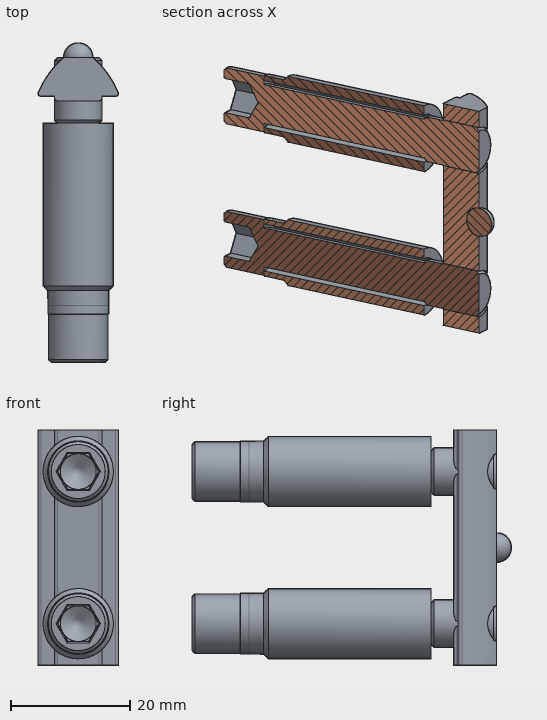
import cadquery as cq
import math

overall_length = 53.5
nut_length = 39.4
screw_spacing = 25.45

ball_diameter = 5.0

nut_width = 13.5
nut_back_width = ball_diameter
flange_depth = 6.45
boss_depth = 7.2
boss_width = 7.95
nut_edge_radius = 0.5
flank_end_angle = 23.0

screw_length = overall_length - ball_diameter / 2
thread_diameter = 8.0
thread_length = 10.95
shank_diameter = 7.0
thread_chamfer = (thread_diameter - shank_diameter) / 2
head_diameter = 10.0
head_length = 8.0
head_chamfer = 0.5
underhead_depth = screw_length - head_length

socket_across_flats = 6.0
socket_depth = 5.05
socket_mouth_chamfer = 0.2
socket_cone_angle = 120.0

sleeve_diameter = 11.75
sleeve_bore = 8.3
sleeve_back_depth = thread_length
shoulder_depth = 38.2
shoulder_chamfer_length = 0.8
shoulder_chamfer_height = 0.75
neck_diameter = 10.2
neck_straight_length = 1.5
neck_end_chamfer = (neck_diameter - head_diameter) / 2

screw_heights = (-screw_spacing / 2, screw_spacing / 2)


def revolve_about_y(profile):
    """Revolve a closed profile, drawn as (radius, y) in the XY plane, about the Y axis."""
    return profile.close().revolve(360, (0, 0, 0), (0, 1, 0))


def make_ball():
    return cq.Workplane("XY").sphere(ball_diameter / 2)


def make_nut_blank():
    """Extrude the T-slot profile with curved flanks, drawn for +X and mirrored to -X."""
    edge_center_x = nut_width / 2 - nut_edge_radius
    edge_center_y = -flange_depth + nut_edge_radius

    def flange_edge_point(angle):
        """Point on the rounded flange edge, at an angle in degrees from the X axis."""
        return (
            edge_center_x + nut_edge_radius * math.cos(math.radians(angle)),
            edge_center_y + nut_edge_radius * math.sin(math.radians(angle)),
        )

    half_profile = (
        cq.Workplane("XY", origin=(0, 0, -nut_length / 2))
        .moveTo(0, 0)
        .lineTo(0, -boss_depth)
        .lineTo(boss_width / 2 - nut_edge_radius, -boss_depth)
        .radiusArc((boss_width / 2, -boss_depth + nut_edge_radius), -nut_edge_radius)
        .lineTo(boss_width / 2, -flange_depth)
        .lineTo(edge_center_x, -flange_depth)
        .threePointArc(flange_edge_point(-45), flange_edge_point(flank_end_angle))
        .tangentArcPoint((nut_back_width / 2, 0), relative=False)
        .close()
    )
    half_nut = half_profile.extrude(nut_length)
    return half_nut.union(half_nut.mirror("YZ")).clean()


def make_nut(ball):
    """Slot nut with a seat for the ball and a through hole for each screw."""
    holes = (
        cq.Workplane("XZ")
        .pushPoints([(0, height) for height in screw_heights])
        .circle(thread_diameter / 2)
        .extrude(boss_depth)
    )
    return make_nut_blank().cut(holes).cut(ball)


def make_socket():
    """Hexagon socket with corners on the X axis, a chamfered mouth and a conical bottom."""
    corner_ratio = 1 / math.cos(math.pi / 6)
    corner_diameter = socket_across_flats * corner_ratio
    mouth_diameter = (socket_across_flats + 2 * socket_mouth_chamfer) * corner_ratio
    cone_radius = socket_across_flats / 2
    floor_y = -screw_length + socket_depth
    cone_height = cone_radius / math.tan(math.radians(socket_cone_angle / 2))

    hexagon = (
        cq.Workplane("XZ", origin=(0, -screw_length, 0))
        .polygon(6, corner_diameter)
        .extrude(-socket_depth)
    )
    mouth = (
        cq.Workplane("XZ", origin=(0, -screw_length, 0))
        .polygon(6, mouth_diameter)
        .workplane(offset=-socket_mouth_chamfer)
        .polygon(6, corner_diameter)
        .loft(ruled=True)
    )
    cone = revolve_about_y(
        cq.Workplane("XY")
        .moveTo(0, floor_y)
        .lineTo(cone_radius, floor_y)
        .lineTo(0, floor_y + cone_height)
    )
    return hexagon.union(mouth).union(cone)


def make_screw():
    """Screw on the Y axis, its threaded end flush with the back face of the nut."""
    body = revolve_about_y(
        cq.Workplane("XY")
        .moveTo(0, 0)
        .lineTo(thread_diameter / 2 - thread_chamfer, 0)
        .lineTo(thread_diameter / 2, -thread_chamfer)
        .lineTo(thread_diameter / 2, -thread_length + thread_chamfer)
        .lineTo(shank_diameter / 2, -thread_length)
        .lineTo(shank_diameter / 2, -underhead_depth)
        .lineTo(head_diameter / 2, -underhead_depth)
        .lineTo(head_diameter / 2, -screw_length + head_chamfer)
        .lineTo(head_diameter / 2 - head_chamfer, -screw_length)
        .lineTo(0, -screw_length)
    )
    return body.cut(make_socket())


def make_sleeve():
    """Sleeve on the Y axis, with a chamfered shoulder curving into the neck under the head."""
    neck_radius = neck_diameter / 2
    shoulder_radius = sleeve_diameter / 2 - shoulder_chamfer_height
    neck_start_y = -underhead_depth + neck_straight_length
    return revolve_about_y(
        cq.Workplane("XY")
        .moveTo(sleeve_bore / 2, -sleeve_back_depth)
        .lineTo(sleeve_bore / 2, -underhead_depth)
        .lineTo(neck_radius - neck_end_chamfer, -underhead_depth)
        .lineTo(neck_radius, -underhead_depth + neck_end_chamfer)
        .lineTo(neck_radius, neck_start_y)
        .tangentArcPoint((shoulder_radius, -shoulder_depth - shoulder_chamfer_length), relative=False)
        .lineTo(sleeve_diameter / 2, -shoulder_depth)
        .lineTo(sleeve_diameter / 2, -sleeve_back_depth)
    )


ball = make_ball()
nut = make_nut(ball)
screws = []
sleeves = []
for height in screw_heights:
    screws.append(make_screw().translate((0, 0, height)).val())
    sleeves.append(make_sleeve().translate((0, 0, height)).val())

result = cq.Compound.makeCompound([nut.val(), ball.val(), *screws, *sleeves])